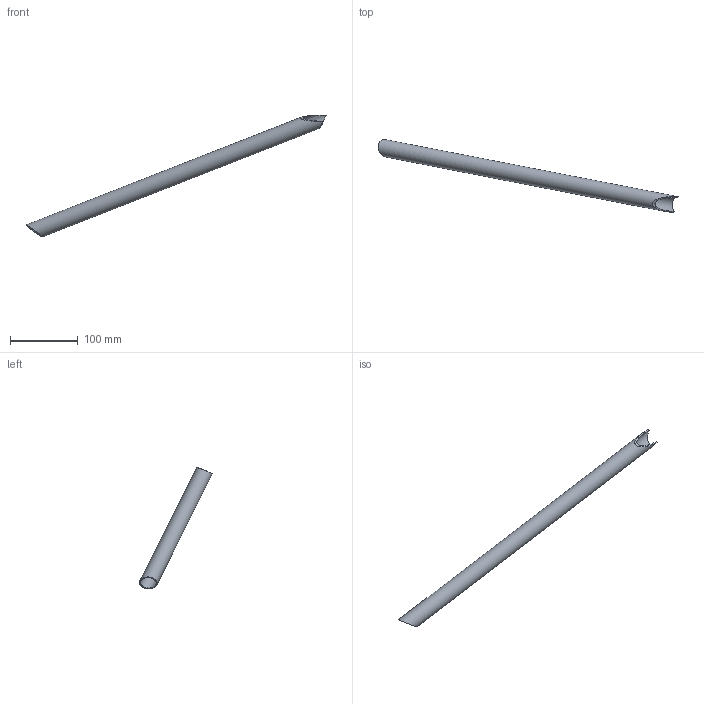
import cadquery as cq
OUTER_DIAMETER = 25.0
WALL = 1.5
TUBE_DIRECTION = cq.Vector(1, -0.1957, 0.3913).normalized()

LOWER_CUT_NORMAL = cq.Vector(-0.57, -0.0688, -0.7693)
UPPER_CUT_TOP_NORMAL = cq.Vector(0, -0.3821, 0.94)
UPPER_CUT_FRONT_NORMAL = cq.Vector(0.88, -0.0703, -0.3875)

TOP_CUT_STATION = 462.07
FRONT_CUT_STATION = 466.61

TRIM_ALLOWANCE = 60.0
CUTTER_WIDTH = 300.0
CUTTER_DEPTH = 200.0


def point_on_centre_line(station):
    return TUBE_DIRECTION * station


def make_untrimmed_tube():
    length = max(TOP_CUT_STATION, FRONT_CUT_STATION) + 2 * TRIM_ALLOWANCE
    start = cq.Plane(origin=point_on_centre_line(-TRIM_ALLOWANCE), normal=TUBE_DIRECTION)
    outer_radius = OUTER_DIAMETER / 2
    return cq.Workplane(start).circle(outer_radius).circle(outer_radius - WALL).extrude(length)


def trim(tube, station, outward_normal):
    """Remove everything beyond a plane that crosses the centre line at the station."""
    plane = cq.Plane(origin=point_on_centre_line(station), normal=outward_normal)
    cutter = cq.Workplane(plane).rect(CUTTER_WIDTH, CUTTER_WIDTH).extrude(CUTTER_DEPTH)
    return tube.cut(cutter)


result = make_untrimmed_tube()
result = trim(result, 0, LOWER_CUT_NORMAL)
result = trim(result, TOP_CUT_STATION, UPPER_CUT_TOP_NORMAL)
result = trim(result, FRONT_CUT_STATION, UPPER_CUT_FRONT_NORMAL)